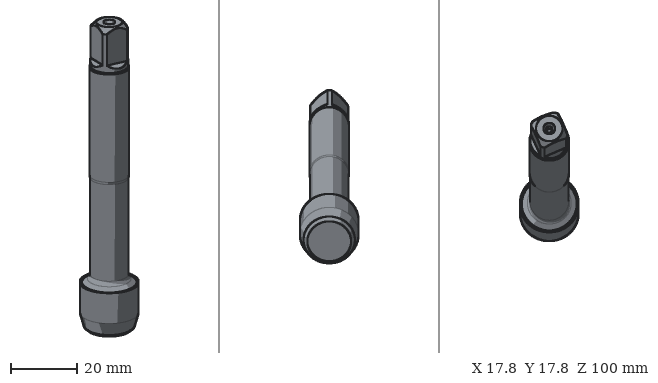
import cadquery as cq
import math

total_length = 100.0

head_diameter = 17.8
head_height = 15.1
lead_height = 5.2
lead_end_diameter = 15.5
tip_diameter = 13.2
tip_chamfer_height = 1.0

collar_diameter = 16.6
collar_slope = 35.0
neck_fillet = 1.8

neck_diameter = 11.7
shank_diameter = 12.0
shank_bottom = 50.1
shank_step_height = 0.8
shank_top = 85.7
shank_chamfer_height = 0.4

drive_diameter = 11.5
drive_width = 9.0
drive_flat_bottom = 88.1
drive_end_diameter = 8.0

hole_diameter = 2.0
countersink_diameter = 3.5
countersink_angle = 60.0
hole_depth = 4.0
drill_point_angle = 120.0


def revolve_profile(points):
    """Revolve a closed (radius, height) outline about Z."""
    outline = cq.Workplane("XZ").polyline(points).close()
    return outline.revolve(360, (0, 0, 0), (0, 1, 0))


def make_head():
    return revolve_profile([
        (0, 0),
        (tip_diameter / 2, 0),
        (lead_end_diameter / 2, tip_chamfer_height),
        (head_diameter / 2, lead_height),
        (head_diameter / 2, head_height),
        (0, head_height),
    ])


def make_round_shank():
    """Collar, filleted neck, shank and round drive end with its end chamfer."""
    neck_radius = neck_diameter / 2
    collar_radius = collar_diameter / 2
    shank_radius = shank_diameter / 2
    drive_radius = drive_diameter / 2
    drive_end_radius = drive_end_diameter / 2

    slope = math.radians(collar_slope)
    collar_top = head_height + (collar_radius - neck_radius) * math.tan(slope)
    end_chamfer = drive_radius - drive_end_radius

    turn = math.pi / 2 - slope
    tangent_length = neck_fillet * math.tan(turn / 2)
    fillet_top = collar_top + tangent_length
    fillet_centre_radius = neck_radius + neck_fillet
    mid_turn = turn / 2

    outline = (
        cq.Workplane("XZ")
        .moveTo(0, head_height)
        .lineTo(collar_radius, head_height)
        .lineTo(neck_radius + tangent_length * math.cos(slope), collar_top - tangent_length * math.sin(slope))
        .threePointArc(
            (fillet_centre_radius - neck_fillet * math.cos(mid_turn), fillet_top - neck_fillet * math.sin(mid_turn)),
            (neck_radius, fillet_top),
        )
        .lineTo(neck_radius, shank_bottom - shank_step_height)
        .lineTo(shank_radius, shank_bottom)
        .lineTo(shank_radius, shank_top - shank_chamfer_height)
        .lineTo(drive_radius, shank_top)
        .lineTo(drive_radius, total_length - end_chamfer)
        .lineTo(drive_end_radius, total_length)
        .lineTo(0, total_length)
        .close()
    )
    return outline.revolve(360, (0, 0, 0), (0, 1, 0))


def make_flat_cutter():
    """Material outside one drive flat, with a 45 degree run-out at its foot."""
    flat = drive_width / 2
    outside = shank_diameter
    runout = outside - flat
    return (
        cq.Workplane("XZ")
        .polyline([
            (flat, drive_flat_bottom),
            (outside, drive_flat_bottom - runout),
            (outside, total_length),
            (flat, total_length),
        ])
        .close()
        .extrude(shank_diameter / 2, both=True)
    )


def make_centre_hole():
    hole_radius = hole_diameter / 2
    countersink_radius = countersink_diameter / 2
    countersink_depth = (countersink_radius - hole_radius) / math.tan(math.radians(countersink_angle / 2))
    point_depth = hole_radius / math.tan(math.radians(drill_point_angle / 2))
    hole_bottom = total_length - hole_depth
    return revolve_profile([
        (0, total_length),
        (countersink_radius, total_length),
        (hole_radius, total_length - countersink_depth),
        (hole_radius, hole_bottom),
        (0, hole_bottom - point_depth),
    ])


def make_shank():
    body = make_round_shank()
    flat_cutter = make_flat_cutter()
    for angle in (0, 90, 180, 270):
        body = body.cut(flat_cutter.rotate((0, 0, 0), (0, 0, 1), angle))
    return body.cut(make_centre_hole())


head = make_head()
shank = make_shank()

result = cq.Compound.makeCompound([head.val(), shank.val()])